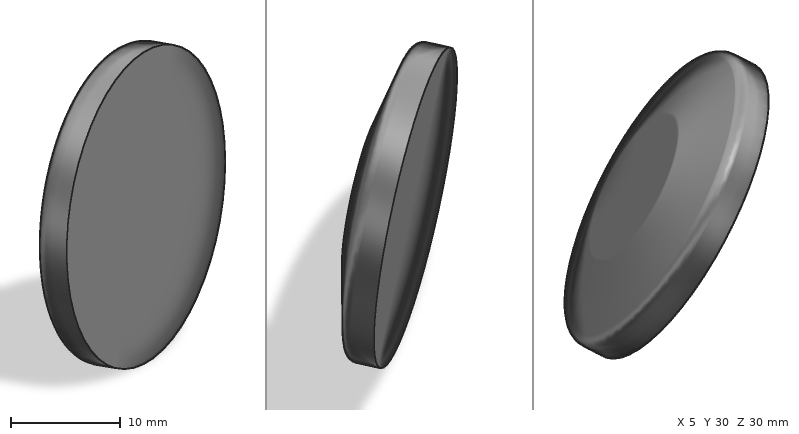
import cadquery as cq

outer_diameter = 30.0
thickness = 5.0
rim_height = 3.0
face_diameter = 15.0
edge_radius = 1.0

outer_radius = outer_diameter / 2
face_radius = face_diameter / 2
back_x = thickness / 2
front_x = back_x - thickness
rim_front_x = back_x - rim_height


def domed_disc():
    """Disc about the X axis: flat back, straight rim, conical front."""
    half_section = (
        cq.Workplane("XY")
        .moveTo(back_x, 0)
        .lineTo(back_x, outer_radius)
        .lineTo(rim_front_x, outer_radius)
        .lineTo(front_x, face_radius)
        .lineTo(front_x, 0)
        .close()
    )
    return half_section.revolve(360, (0, 0, 0), (1, 0, 0))


def round_cone_edges(disc):
    """Round the edges where the cone meets the rim and the front face."""
    cone_face = disc.faces("%CONE")
    return cone_face.edges("%CIRCLE").fillet(edge_radius)


result = round_cone_edges(domed_disc())